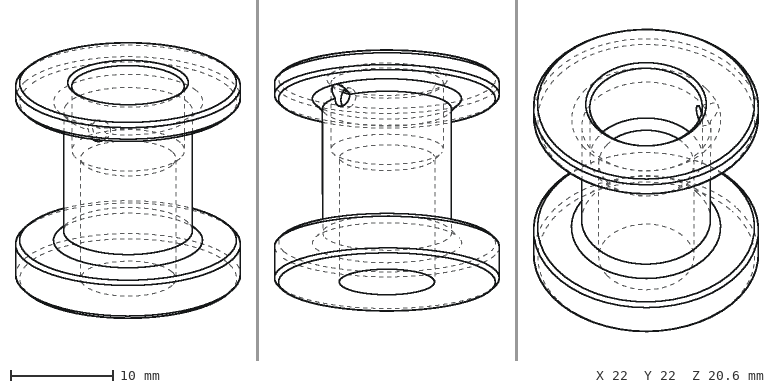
import cadquery as cq
import math

flange_radius = 11.0
total_height = 20.6
bottom_flange_thickness = 4.0
top_flange_thickness = 2.0
edge_chamfer = 0.4

neck_radius = 12.6 / 2
neck_cone_size = 1.0

upper_bore_radius = 5.5
lower_bore_radius = 9.3 / 2
upper_bore_depth = 7.1

cross_hole_diameter = 2.0
cross_hole_angle = 275.0

top_flange_bottom = total_height - top_flange_thickness


def flange(bottom, thickness):
    """Disc with both outer edges chamfered."""
    disc = cq.Workplane("XY").workplane(offset=bottom).circle(flange_radius).extrude(thickness)
    return disc.faces("<Z or >Z").edges().chamfer(edge_chamfer)


def neck():
    """Revolved neck that widens where it meets the flanges."""
    foot_radius = neck_radius + neck_cone_size
    profile = [
        (0, bottom_flange_thickness),
        (foot_radius, bottom_flange_thickness),
        (neck_radius, bottom_flange_thickness + neck_cone_size),
        (neck_radius, top_flange_bottom - neck_cone_size),
        (foot_radius, top_flange_bottom),
        (0, top_flange_bottom),
    ]
    return cq.Workplane("XZ").polyline(profile).close().revolve(360, (0, 0, 0), (0, 1, 0))


def bore():
    """Volume removed by the stepped bore and its chamfered mouth."""
    step_top = total_height - upper_bore_depth
    step_bottom = step_top - (upper_bore_radius - lower_bore_radius)
    profile = [
        (0, 0),
        (lower_bore_radius, 0),
        (lower_bore_radius, step_bottom),
        (upper_bore_radius, step_top),
        (upper_bore_radius, total_height - edge_chamfer),
        (upper_bore_radius + edge_chamfer, total_height),
        (0, total_height),
    ]
    return cq.Workplane("XZ").polyline(profile).close().revolve(360, (0, 0, 0), (0, 1, 0))


def cross_hole():
    """Radial drill running outward from the axis, tangent to the top flange."""
    angle = math.radians(cross_hole_angle)
    hole_radius = cross_hole_diameter / 2
    start = cq.Vector(0, 0, top_flange_bottom - hole_radius)
    outward = cq.Vector(math.cos(angle), math.sin(angle), 0)
    return cq.Workplane(cq.Solid.makeCylinder(hole_radius, flange_radius, start, outward))


bottom_flange = flange(0, bottom_flange_thickness)
top_flange = flange(top_flange_bottom, top_flange_thickness)
body = bottom_flange.union(neck()).union(top_flange)
result = body.cut(bore()).cut(cross_hole())